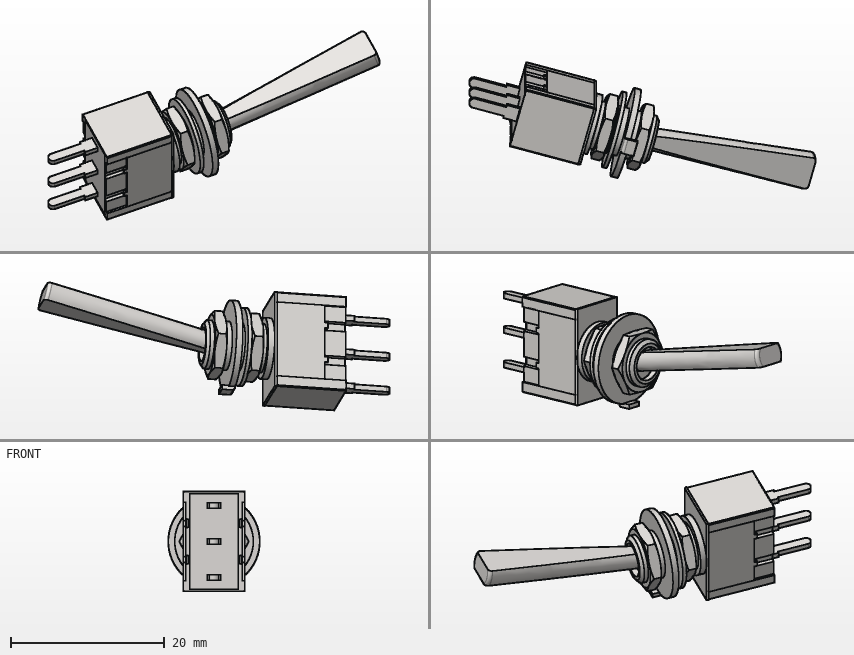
import cadquery as cq
import math


case_width = 8.0
case_height = 13.0
case_back_y = -9.5
case_edge_chamfer = 0.15
sheet = 0.3
frame_edge_inset = 0.15
panel_height = 10.18
panel_back_y = -6.65

hook_pitch = 4.7
hook_width = 0.7
hook_length = 0.4
hook_barb = 0.15
hook_barb_length = 0.3
hook_root_radius = 0.15
slot_mouth_width = 1.25
slot_floor_width = 0.95
slot_depth = 0.4

base_width = 6.3
base_height = 12.45
terminal_pitch = 4.65
terminal_thickness = 0.75
terminal_root_width = 1.8
terminal_tip_width = 1.25
terminal_shoulder_y = -11.25
terminal_end_y = -16.05
terminal_end_rise = 0.55

bushing_diameter = 6.4
bushing_end_diameter = 5.35
bushing_length = 8.8
bushing_chamfer_length = 0.4
bushing_mouth_diameter = 4.45
bushing_mouth_depth = 0.92
flange_length = 0.85

nut_sides = 6
nut_across_flats = 7.85
nut_thickness = 1.53
nut_chamfer_angle = 22
inner_nut_y = 1.45
outer_nut_y = 6.3

lock_washer_diameter = 10.2
lock_washer_thickness = 0.5
lock_washer_y = 3.25
locating_ring_diameter = 11.95
locating_ring_thickness = 0.85
locating_ring_y = 4.62
locating_tab_width = 2.0
locating_tab_thickness = 0.6
locating_tab_length = 1.75
locating_tab_bottom = 6.4
locating_tab_bend = 0.4

lever_tilt = 12.6
lever_pivot_y = 6.8
lever_tip_y = 30.2
lever_root_radius = 1.4
lever_tip_radius = 2.5
lever_thickness = 2.45
lever_rim_radius = 0.45

half_width = case_width / 2
channel_x = half_width - sheet


def disc(diameter, start_y, length):
    """Cylinder on the bushing axis, from start_y towards +Y."""
    return (
        cq.Workplane("XZ", origin=(0, start_y, 0))
        .circle(diameter / 2)
        .extrude(-length)
    )


def block(width, height, start_y, end_y):
    """Box centred on the bushing axis between two Y positions."""
    return (
        cq.Workplane("XZ", origin=(0, start_y, 0))
        .rect(width, height)
        .extrude(start_y - end_y)
    )


def both_sides(shape):
    """A shape on the +X side together with its mirror image."""
    return shape.union(shape.mirror("YZ"))


def make_lever():
    tilt = math.radians(lever_tilt)
    reach = lever_tip_y - lever_pivot_y - lever_thickness / 2 * math.sin(tilt)
    length = reach / math.cos(tilt)
    cone = (
        cq.Workplane("XY")
        .polyline([(0, 0), (lever_root_radius, 0), (lever_tip_radius, length), (0, length)])
        .close()
        .revolve(360, (0, 0, 0), (0, 1, 0))
        .edges(">Y")
        .fillet(lever_rim_radius)
    )
    flats = block(2 * lever_tip_radius, lever_thickness, 0, length)
    return (
        cone.intersect(flats)
        .rotate((0, 0, 0), (1, 0, 0), lever_tilt)
        .translate((0, lever_pivot_y, 0))
    )


def make_hook(z):
    """Barbed hook on the back edge of the +X panel."""
    tip_y = panel_back_y - hook_length
    barb = (
        cq.Workplane("XY", origin=(0, 0, z - hook_width / 2))
        .polyline([
            (half_width, panel_back_y),
            (half_width, tip_y),
            (channel_x, tip_y),
            (channel_x - hook_barb, tip_y + hook_barb_length),
            (channel_x, panel_back_y),
        ])
        .close()
        .extrude(hook_width)
    )
    root_width = hook_width + 2 * hook_root_radius
    root = (
        cq.Workplane("YZ", origin=(channel_x, panel_back_y - hook_root_radius / 2, z))
        .rect(hook_root_radius, root_width)
        .extrude(sheet)
    )
    root_hollows = (
        cq.Workplane("YZ", origin=(channel_x, panel_back_y - hook_root_radius, z))
        .pushPoints([(0, -root_width / 2), (0, root_width / 2)])
        .circle(hook_root_radius)
        .extrude(sheet)
    )
    return barb.union(root.cut(root_hollows))


def make_bushing():
    """Flanged bushing with a chamfered end and a wide mouth around the lever."""
    mouth_y = bushing_length - bushing_mouth_depth
    radius = bushing_diameter / 2
    return (
        cq.Workplane("XY")
        .polyline([
            (0, 0),
            (half_width, 0),
            (half_width, flange_length),
            (radius, flange_length),
            (radius, bushing_length - bushing_chamfer_length),
            (bushing_end_diameter / 2, bushing_length),
            (bushing_mouth_diameter / 2, bushing_length),
            (bushing_mouth_diameter / 2, mouth_y),
            (0, mouth_y),
        ])
        .close()
        .revolve(360, (0, 0, 0), (0, 1, 0))
    )


def make_frame(lever):
    plate = (
        cq.Workplane("XY", origin=(0, 0, -case_height / 2))
        .polyline([
            (half_width - frame_edge_inset, 0),
            (half_width, -sheet),
            (-half_width, -sheet),
            (frame_edge_inset - half_width, 0),
        ])
        .close()
        .extrude(case_height)
    )
    panel = block(sheet, panel_height, -sheet, panel_back_y).translate((half_width - sheet / 2, 0, 0))
    for z in (-hook_pitch / 2, hook_pitch / 2):
        panel = panel.union(make_hook(z))
    frame = plate.union(both_sides(panel)).union(make_bushing())
    return frame.cut(lever)


def make_slot(z):
    """Tapered slot in the +X side of the case, open at the back."""
    floor_x = channel_x - slot_depth
    return (
        cq.Workplane("XZ", origin=(0, panel_back_y, z))
        .polyline([
            (channel_x, -slot_mouth_width / 2),
            (channel_x, slot_mouth_width / 2),
            (floor_x, slot_floor_width / 2),
            (floor_x, -slot_floor_width / 2),
        ])
        .close()
        .extrude(panel_back_y - case_back_y)
    )


def make_case():
    case = block(case_width, case_height, -sheet, case_back_y).edges("|Y").chamfer(case_edge_chamfer)
    cavity = block(base_width, base_height, -sheet, case_back_y)
    recess = block(sheet, panel_height, -sheet, case_back_y).translate((half_width - sheet / 2, 0, 0))
    for z in (-hook_pitch / 2, hook_pitch / 2):
        recess = recess.union(make_slot(z))
    return case.cut(cavity).cut(both_sides(recess))


def make_terminal(z):
    root = terminal_root_width / 2
    tip = terminal_tip_width / 2
    arc_start_y = terminal_end_y + terminal_end_rise
    return (
        cq.Workplane("XY", origin=(0, 0, z - terminal_thickness / 2))
        .moveTo(-root, case_back_y)
        .lineTo(-root, terminal_shoulder_y)
        .lineTo(-tip, terminal_shoulder_y)
        .lineTo(-tip, arc_start_y)
        .threePointArc((0, terminal_end_y), (tip, arc_start_y))
        .lineTo(tip, terminal_shoulder_y)
        .lineTo(root, terminal_shoulder_y)
        .lineTo(root, case_back_y)
        .close()
        .extrude(terminal_thickness)
    )


def make_base():
    base = block(base_width, base_height, -sheet, case_back_y)
    for z in (-terminal_pitch, 0, terminal_pitch):
        base = base.union(make_terminal(z))
    return base


def make_nut(start_y):
    """Hexagon nut with two flats facing up and down and its corners chamfered at both ends."""
    across_corners = nut_across_flats / math.cos(math.pi / nut_sides)
    corner_radius = across_corners / 2
    flat_radius = nut_across_flats / 2
    corner_drop = (corner_radius - flat_radius) * math.tan(math.radians(nut_chamfer_angle))
    hexagon = cq.Workplane("XZ").polygon(nut_sides, across_corners).extrude(-nut_thickness)
    envelope = (
        cq.Workplane("XY")
        .polyline([
            (0, 0),
            (flat_radius, 0),
            (corner_radius, corner_drop),
            (corner_radius, nut_thickness - corner_drop),
            (flat_radius, nut_thickness),
            (0, nut_thickness),
        ])
        .close()
        .revolve(360, (0, 0, 0), (0, 1, 0))
    )
    bore = disc(bushing_diameter, 0, nut_thickness)
    return hexagon.intersect(envelope).cut(bore).translate((0, start_y, 0))


def make_lock_washer():
    washer = disc(lock_washer_diameter, lock_washer_y, lock_washer_thickness)
    return washer.cut(disc(bushing_diameter, lock_washer_y, lock_washer_thickness))


def make_locating_ring():
    """Washer with a tab at its bottom bent towards the lever."""
    tab_end_y = locating_ring_y + locating_tab_length
    ring = disc(locating_ring_diameter, locating_ring_y, locating_ring_thickness)
    bore = disc(bushing_diameter, locating_ring_y, locating_ring_thickness)
    tab = (
        block(locating_tab_width, locating_tab_thickness, locating_ring_y, tab_end_y)
        .translate((0, 0, locating_tab_thickness / 2 - locating_tab_bottom))
        .edges("<Y and <Z")
        .fillet(locating_tab_bend)
    )
    return ring.union(tab).cut(bore)


lever = make_lever()
frame = make_frame(lever)
case = make_case()
base = make_base()
nuts = [make_nut(start_y) for start_y in (inner_nut_y, outer_nut_y)]
lock_washer = make_lock_washer()
locating_ring = make_locating_ring()

result = cq.Compound.makeCompound([
    lever.val(),
    frame.val(),
    case.val(),
    base.val(),
    *[nut.val() for nut in nuts],
    lock_washer.val(),
    locating_ring.val(),
])